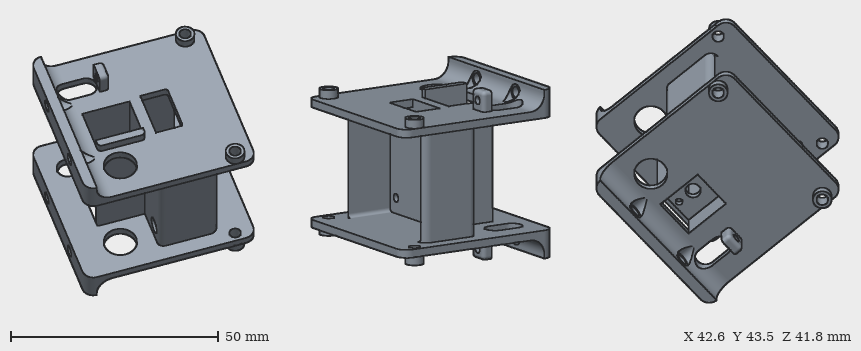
import cadquery as cq


WIDTH = 42.55
DEPTH = 43.5
HEIGHT = 41.8
PLATE_THICK = 2.0
FLANGE_HEIGHT = 7.0
FLANGE_THICK = 2.8
FLANGE_FILLET = 4.0
CORNER_RADIUS = 2.8
TOP_Z = HEIGHT / 2
GAP_HALF = TOP_Z - FLANGE_HEIGHT
PLATE_Z = GAP_HALF + PLATE_THICK

FLANGE_HOLE_DIA = 2.83
FLANGE_BORE_DIA = 4.0
FLANGE_HOLE_X = 8.6
FLANGE_HOLE_Z = PLATE_Z + FLANGE_BORE_DIA / 2

BOSS_DIA = 4.52
BOSS_HOLE_DIA = 2.8
BOSS_HEIGHT = 2.15
BOSS_X = WIDTH / 2 - BOSS_DIA / 2
BOSS_Y = 38.7

SLOT_X = -12.8
SLOT_WIDTH = 5.18
SLOT_FRONT = 4.05
SLOT_BACK = 14.05
LUG_THICK = 2.5
LUG_ROUND = 1.0
LUG_HOLE_DIA = 2.0
CABLE_HOLE_DIA = 8.05
CABLE_HOLE_X = 12.8
CABLE_HOLE_Y = 11.55

HOUSING_WIDTH = 34.8
HOUSING_FRONT = 19.92
HOUSING_BACK = 35.15
HOUSING_FRONT_ROUND = 1.6
HOUSING_BACK_ROUND = 2.18
SIDE_WALL = 1.3
FRONT_WALL = 3.0
CAVITY_ROUND = 1.0

WALL_HOLE_X = 13.5
WALL_HOLE_Z = 10.0
WALL_HOLE_DIA = 2.05
WALL_BORE_DIA = 4.0
WALL_BORE_DEPTH = 1.0

WINDOW_WIDTH = 11.9
WINDOW_DEPTH = 6.87
WINDOW_ROUND = 0.7

TOWER_FRONT = 7.87
TOWER_INNER_WIDTH = 10.35
TOWER_WALL = 1.3
TOWER_ROUND = 0.4
SHELF_TOP = -6.35
SHELF_THICK = 1.9
SHELF_HOLE_DIA = 3.7
SHELF_SCREW_DIA = 1.7
SHELF_SCREW_PITCH = 4.52
TOWER_DEPTH = HOUSING_FRONT - TOWER_FRONT
TOWER_MID_Y = (HOUSING_FRONT + TOWER_FRONT) / 2

RIB_THICK = 2.0
RIB_HEIGHT = 2.15
RIB_ROUND = 1.0


def block(x_size, y_size, z_size, x_mid, y_front, z_low):
    """Box centred on x_mid, starting at y_front and z_low."""
    return (
        cq.Workplane("XY")
        .box(x_size, y_size, z_size, centered=(True, False, False))
        .translate((x_mid, y_front, z_low))
    )


def upright(diameter, x, y, z_low, z_high):
    """Cylinder along Z."""
    return cq.Workplane("XY", origin=(x, y, z_low)).circle(diameter / 2).extrude(z_high - z_low)


def level(diameter, x, z, y_front, y_back):
    """Cylinder along Y."""
    plane = cq.Workplane("XZ", origin=(x, y_front, z))
    return plane.circle(diameter / 2).extrude(y_front - y_back)


def lug():
    """Eye standing on the plate behind the cable slot, with its top and rear edges rounded."""
    eye = block(SLOT_WIDTH, LUG_THICK, TOP_Z - PLATE_Z, SLOT_X, SLOT_BACK, PLATE_Z)
    return eye.edges("(|Z and >Y) or (|Y and >Z) or (>Y and >Z)").fillet(LUG_ROUND)


def plate():
    """Upper plate with its flange, lug, bosses and holes."""
    fillet_y = FLANGE_THICK + FLANGE_FILLET
    body = (
        cq.Workplane("YZ", origin=(-WIDTH / 2, 0, 0))
        .moveTo(0, GAP_HALF)
        .lineTo(DEPTH, GAP_HALF)
        .lineTo(DEPTH, PLATE_Z)
        .lineTo(fillet_y, PLATE_Z)
        .radiusArc((FLANGE_THICK, PLATE_Z + FLANGE_FILLET), FLANGE_FILLET)
        .lineTo(FLANGE_THICK, TOP_Z)
        .lineTo(0, TOP_Z)
        .close()
        .extrude(WIDTH)
    )
    outline = block(WIDTH, DEPTH, HEIGHT, 0, 0, 0).edges("|Z").fillet(CORNER_RADIUS)
    body = body.intersect(outline).union(lug())
    lug_hole_z = (PLATE_Z + TOP_Z) / 2
    body = body.cut(level(LUG_HOLE_DIA, SLOT_X, lug_hole_z, SLOT_BACK, SLOT_BACK + LUG_THICK))

    for side in (-1, 1):
        boss_x = side * BOSS_X
        hole_x = side * FLANGE_HOLE_X
        body = body.union(upright(BOSS_DIA, boss_x, BOSS_Y, PLATE_Z, PLATE_Z + BOSS_HEIGHT))
        body = body.cut(upright(BOSS_HOLE_DIA, boss_x, BOSS_Y, GAP_HALF, TOP_Z))
        body = body.cut(level(FLANGE_HOLE_DIA, hole_x, FLANGE_HOLE_Z, 0, FLANGE_THICK))
        body = body.cut(level(FLANGE_BORE_DIA, hole_x, FLANGE_HOLE_Z, FLANGE_THICK, fillet_y))

    slot = (
        cq.Workplane("XY", origin=(SLOT_X, (SLOT_FRONT + SLOT_BACK) / 2, GAP_HALF))
        .slot2D(SLOT_BACK - SLOT_FRONT, SLOT_WIDTH, 90)
        .extrude(FLANGE_HEIGHT)
    )
    cable_hole = upright(CABLE_HOLE_DIA, CABLE_HOLE_X, CABLE_HOLE_Y, GAP_HALF, TOP_Z)
    return body.cut(slot).cut(cable_hole)


def housing():
    """Box between the plates, open at the back, with four screw holes in its front wall."""
    gap = 2 * GAP_HALF
    depth = HOUSING_BACK - HOUSING_FRONT
    shell = block(HOUSING_WIDTH, depth, gap, 0, HOUSING_FRONT, -GAP_HALF)
    shell = shell.edges("|Z and <Y").fillet(HOUSING_FRONT_ROUND)
    shell = shell.edges("|Z and >Y").fillet(HOUSING_BACK_ROUND)
    wall_back = HOUSING_FRONT + FRONT_WALL
    cavity = block(HOUSING_WIDTH - 2 * SIDE_WALL, depth, gap, 0, wall_back, -GAP_HALF)
    shell = shell.cut(cavity.edges("|Y").fillet(CAVITY_ROUND))
    for x in (-WALL_HOLE_X, WALL_HOLE_X):
        for z in (-WALL_HOLE_Z, WALL_HOLE_Z):
            shell = shell.cut(level(WALL_HOLE_DIA, x, z, HOUSING_FRONT, wall_back))
            shell = shell.cut(level(WALL_BORE_DIA, x, z, HOUSING_FRONT, HOUSING_FRONT + WALL_BORE_DEPTH))
    return shell


def tower():
    """Solid tower block; its shaft is cut out later."""
    width = TOWER_INNER_WIDTH + 2 * TOWER_WALL
    outer = block(width, TOWER_DEPTH, 2 * GAP_HALF, 0, TOWER_FRONT, -GAP_HALF)
    return outer.edges("|Z and <Y").fillet(TOWER_ROUND)


def rib():
    """Rib on the top plate, rounded on the side away from the tower opening."""
    middle_x = (TOWER_INNER_WIDTH + RIB_THICK) / 2
    bar = block(RIB_THICK, TOWER_DEPTH, RIB_HEIGHT, middle_x, TOWER_FRONT, PLATE_Z)
    return bar.edges("|Z and >X").fillet(RIB_ROUND)


def shelf():
    """Shelf across the tower with one large hole between two screw holes."""
    low = SHELF_TOP - SHELF_THICK
    board = block(TOWER_INNER_WIDTH, TOWER_DEPTH, SHELF_THICK, 0, TOWER_FRONT, low)
    board = board.cut(upright(SHELF_HOLE_DIA, 0, TOWER_MID_Y, low, SHELF_TOP))
    for offset in (-SHELF_SCREW_PITCH, SHELF_SCREW_PITCH):
        board = board.cut(upright(SHELF_SCREW_DIA, 0, TOWER_MID_Y + offset, low, SHELF_TOP))
    return board


def window():
    """Cutter for the top plate's window, rounded at its rear corners."""
    front = HOUSING_FRONT + FRONT_WALL
    cutter = block(WINDOW_WIDTH, WINDOW_DEPTH, PLATE_THICK, 0, front, GAP_HALF)
    return cutter.edges("|Z and >Y").fillet(WINDOW_ROUND)


top_plate = plate()
bottom_plate = top_plate.mirror("XY")
shaft = block(TOWER_INNER_WIDTH, TOWER_DEPTH, 2 * PLATE_Z, 0, TOWER_FRONT, -PLATE_Z)

result = top_plate.union(bottom_plate).union(housing()).union(tower()).union(rib())
result = result.cut(shaft).cut(window()).union(shelf())